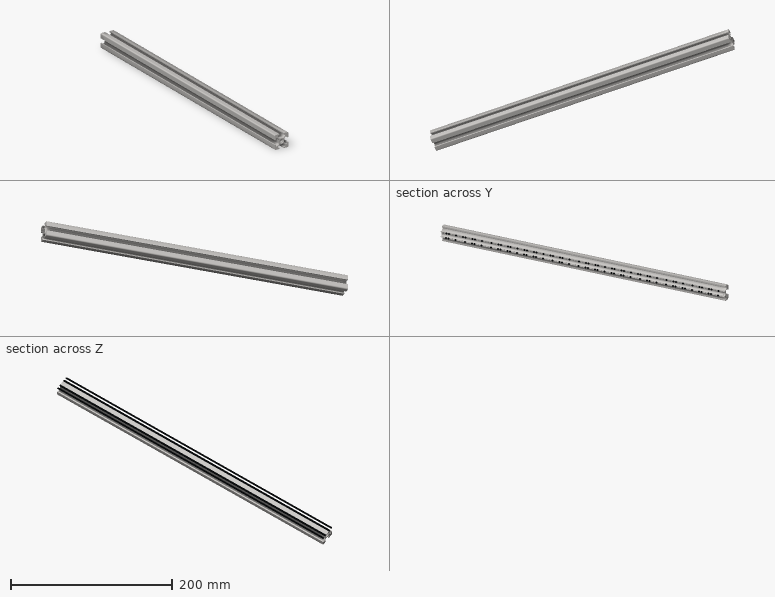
import cadquery as cq
import math

length = 400.0
width = 20.0
corner_radius = 1.5

half_opening = 3.1
lip_thickness = 1.5
cavity_width = 11.0
core_width = 7.5
half_floor = 2.0
ramp_width = 1.05
ramp_angle = 9

bore_diameter = 5.0
counterbore_diameter = 6.0
counterbore_depth = 2.0

half_width = width / 2
half_cavity = cavity_width / 2
lip_bottom = half_width - lip_thickness

floor_height = core_width / 2
ramp_end = half_floor + ramp_width
ramp_top = floor_height + ramp_width * math.tan(math.radians(ramp_angle))

web_top = ramp_top + (half_cavity - ramp_end)


def bar_blank():
    """Square bar with rounded long edges, starting at X = 0."""
    return (
        cq.Workplane("YZ")
        .rect(width, width)
        .extrude(length)
        .edges("|X")
        .fillet(corner_radius)
    )


def slot_cutter():
    """T-slot along the whole bar, open towards +Z."""
    right_side = [
        (half_floor, floor_height),
        (ramp_end, ramp_top),
        (half_cavity, web_top),
        (half_cavity, lip_bottom),
        (half_opening, lip_bottom),
        (half_opening, half_width),
    ]
    left_side = [(-y, z) for y, z in reversed(right_side)]
    return cq.Workplane("YZ").polyline(right_side + left_side).close().extrude(length)


def axial_cylinder(diameter, start, depth):
    """Cylinder on the bar axis, running from X = start towards +X."""
    return cq.Workplane("YZ", origin=(start, 0, 0)).circle(diameter / 2).extrude(depth)


bar = bar_blank()

slot = slot_cutter()
for angle in (0, 90, 180, 270):
    bar = bar.cut(slot.rotate((0, 0, 0), (1, 0, 0), angle))

bar = bar.cut(axial_cylinder(bore_diameter, 0, length))
for start in (0, length - counterbore_depth):
    bar = bar.cut(axial_cylinder(counterbore_diameter, start, counterbore_depth))

result = bar.translate((-length / 2, 0, 0))